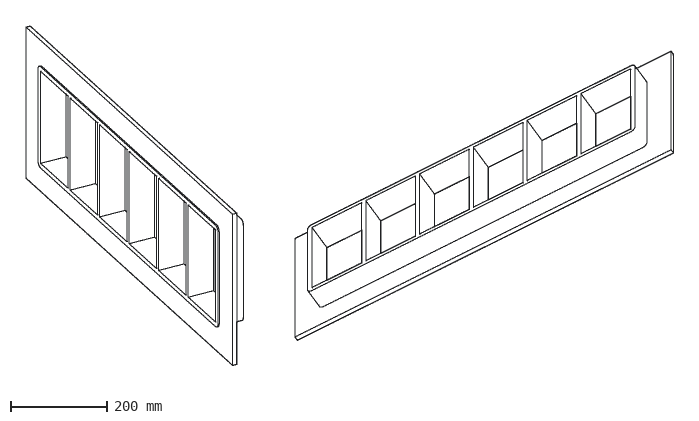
import cadquery as cq

plate_length = 913
plate_height = 358
plate_thickness = 10

plate_border = 59
frame_length = plate_length - 2 * plate_border
frame_height = plate_height - 2 * plate_border
frame_depth = 60
frame_front_lip = 3
frame_wall = 11
frame_corner_radius = frame_wall

window_count = 6
divider_thickness = 10
opening_length = frame_length - 2 * frame_wall
window_length = (opening_length - (window_count - 1) * divider_thickness) / window_count
window_height = frame_height - 2 * frame_wall
window_pitch = window_length + divider_thickness


def block(length, depth, height, front_y):
    """Box centred on X and Z whose front face lies at front_y."""
    box = cq.Workplane("XY").box(length, depth, height, centered=(True, False, True))
    return box.translate((0, front_y, 0))


def make_plate():
    return block(plate_length, plate_thickness, plate_height, 0)


def make_frame():
    frame = block(frame_length, frame_depth, frame_height, -frame_front_lip)
    return frame.edges("|Y").fillet(frame_corner_radius)


def cut_windows(body):
    window = block(window_length, frame_depth, window_height, -frame_front_lip)
    first_x = -(window_count - 1) * window_pitch / 2
    for index in range(window_count):
        body = body.cut(window.translate((first_x + index * window_pitch, 0, 0)))
    return body


result = cut_windows(make_plate().union(make_frame()))